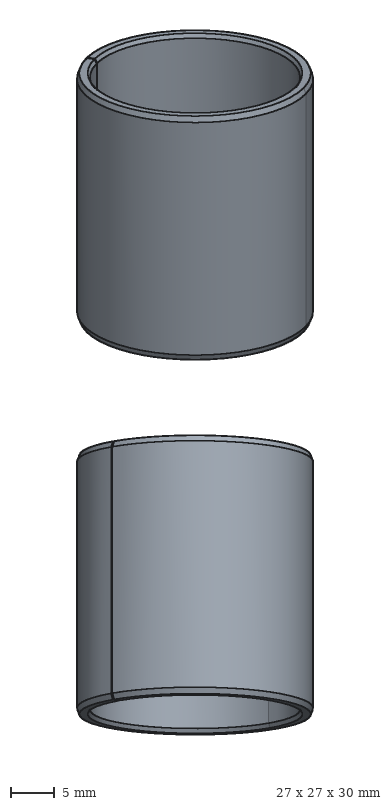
import cadquery as cq
import math

height = 30.0
outer_diameter = 27.0
bore_diameter = 24.0
outer_chamfer_height = 0.7
outer_chamfer_width = 0.27
bore_chamfer_height = 0.5
bore_chamfer_width = 0.27
slit_width = 0.225
oil_hole_diameter = 6.0
oil_hole_angle = 59.0
oil_hole_height = height / 2

outer_radius = outer_diameter / 2
bore_radius = bore_diameter / 2


def sleeve():
    """Revolve the wall section, with chamfered rims, around Z."""
    wall_section = [
        (bore_radius, bore_chamfer_height),
        (bore_radius + bore_chamfer_width, 0),
        (outer_radius - outer_chamfer_width, 0),
        (outer_radius, outer_chamfer_height),
        (outer_radius, height - outer_chamfer_height),
        (outer_radius - outer_chamfer_width, height),
        (bore_radius + bore_chamfer_width, height),
        (bore_radius, height - bore_chamfer_height),
    ]
    return cq.Workplane("XZ").polyline(wall_section).close().revolve(360, (0, 0), (0, 1))


def slit():
    """Full-height cutter through the -X wall, on the +Y side of the XZ plane."""
    return cq.Workplane("XY").box(
        outer_diameter, slit_width, height, centered=False
    ).translate((-outer_diameter, 0, 0))


def oil_hole():
    """Radial cutter from the axis outwards through one wall."""
    angle = math.radians(oil_hole_angle)
    direction = cq.Vector(math.cos(angle), math.sin(angle), 0)
    start = cq.Vector(0, 0, oil_hole_height)
    return cq.Solid.makeCylinder(oil_hole_diameter / 2, outer_diameter, start, direction)


result = sleeve().cut(slit()).cut(oil_hole())